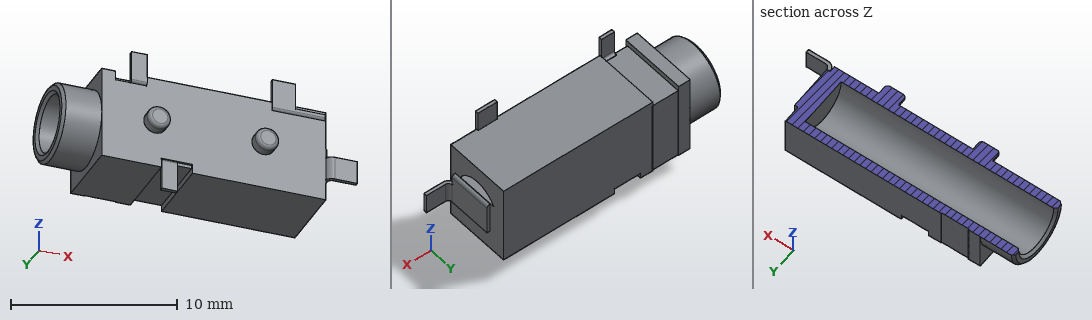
import cadquery as cq

TOTAL_LENGTH = 19.0
BARREL_LENGTH = 2.5
BODY_LENGTH = 14.5
BODY_DEPTH = 5.0
BODY_HEIGHT = 6.0
BODY_END = BARREL_LENGTH + BODY_LENGTH
FRONT_Y = -BODY_DEPTH / 2
TOP_Z = BODY_HEIGHT / 2

BARREL_RADIUS = BODY_DEPTH / 2
BORE_RADIUS = 1.8
MOUTH_CHAMFER = 0.19
BACK_WALL = 1.0
WINDOW_BOTTOM = 0.9

NOTCH_LENGTH = 2.01
NOTCH_DEPTH = 0.4
NOTCH_LEDGE_DROP = 0.2
NOTCH_LEDGE_WIDTH = 0.15
NOTCH_BACK_RELIEF = 0.05
TOP_NOTCH_X = 3.4
BOTTOM_NOTCH_X = 6.36

SHEET = 0.25
STANDOFF = 0.1
TERMINAL_REACH = 1.5
BEND_RADIUS = 0.19
FOOT_Z = TOP_Z - NOTCH_DEPTH - NOTCH_LEDGE_DROP
TIP_Z = TOP_Z + TERMINAL_REACH
TERMINAL_FRONT = FRONT_Y - STANDOFF
SMALL_WIDTH = 1.0
LARGE_X = 13.5
LARGE_WIDTH = 1.5
STRIP_END = 16.93
STRIP_TOP = 2.8

REAR_WIDTH = 1.5
REAR_PLATE_TOP = 0.85
REAR_PLATE_BACK_Y = 1.24
REAR_TOP_ROUND = 0.23
REAR_BEND_RADIUS = 0.28

PEG_RADIUS = 0.75
PEG_LENGTH = 0.8
PEG_ROUND = 0.25
PEG_X = 5.97
PEG_SPACING = 7.0


def block(x_start, x_end, y_start, y_end, z_start, z_end):
    """Box given by its limits along each axis."""
    size = (x_end - x_start, y_end - y_start, z_end - z_start)
    return cq.Workplane().box(*size, centered=False).translate((x_start, y_start, z_start))


def make_housing():
    body = block(BARREL_LENGTH, BODY_END, FRONT_Y, -FRONT_Y, -TOP_Z, TOP_Z)
    barrel = (
        cq.Workplane("YZ").circle(BARREL_RADIUS).extrude(BARREL_LENGTH)
        .faces("<X").chamfer(MOUTH_CHAMFER)
    )
    return body.union(barrel)


def make_notch(x_start):
    """Cutter for a notch in the top face, deeper along the mounting face."""
    x_end = x_start + NOTCH_LENGTH
    floor = TOP_Z - NOTCH_DEPTH
    main = block(x_start, x_end, FRONT_Y, -FRONT_Y, floor, TOP_Z)
    ledge = block(x_start, x_end, FRONT_Y, FRONT_Y + NOTCH_LEDGE_WIDTH, FOOT_Z, TOP_Z)
    return main.union(ledge)


def make_bore():
    """Chamfered blind bore that continues as a segment-shaped window in the back wall."""
    bore = cq.Workplane("YZ").circle(BORE_RADIUS).extrude(BODY_END - BACK_WALL)
    mouth = (
        cq.Workplane("YZ").circle(BORE_RADIUS + MOUTH_CHAMFER)
        .extrude(2 * MOUTH_CHAMFER).faces(">X").chamfer(MOUTH_CHAMFER)
        .translate((-MOUTH_CHAMFER, 0, 0))
    )
    window = cq.Workplane("YZ").circle(BORE_RADIUS).extrude(BODY_END).intersect(
        block(0, BODY_END, -BORE_RADIUS, BORE_RADIUS, WINDOW_BOTTOM, BORE_RADIUS)
    )
    return bore.union(mouth).union(window)


def make_small_terminal(x_start):
    """Upright sheet terminal bent inward at its foot, with round inner and outer bends."""
    back = TERMINAL_FRONT + SHEET
    leg_top = FOOT_Z + SHEET
    leg_end = back + BEND_RADIUS
    return (
        cq.Workplane("YZ", origin=(x_start, 0, 0))
        .moveTo(TERMINAL_FRONT, TIP_Z)
        .lineTo(TERMINAL_FRONT, FOOT_Z + BEND_RADIUS)
        .radiusArc((TERMINAL_FRONT + BEND_RADIUS, FOOT_Z), -BEND_RADIUS)
        .lineTo(leg_end, FOOT_Z)
        .lineTo(leg_end, leg_top)
        .radiusArc((back, leg_top + BEND_RADIUS), BEND_RADIUS)
        .lineTo(back, TIP_Z)
        .close()
        .extrude(SMALL_WIDTH)
    )


def make_large_terminal():
    """Upright terminal with a low strip running toward the back of the housing."""
    back = TERMINAL_FRONT + SHEET
    tab = block(LARGE_X, LARGE_X + LARGE_WIDTH, TERMINAL_FRONT, back, FOOT_Z, TIP_Z)
    strip = block(LARGE_X, STRIP_END, TERMINAL_FRONT, back, FOOT_Z, STRIP_TOP)
    return tab.union(strip).edges("<Y and <Z").fillet(BEND_RADIUS)


def make_rear_terminal():
    """Plate on the back face, bent outward into a flat solder tail."""
    plate_outer = BODY_END + SHEET
    tail_back = TERMINAL_FRONT + SHEET
    outer_radius = REAR_BEND_RADIUS + SHEET
    tail = (
        cq.Workplane("XY", origin=(0, 0, -REAR_WIDTH))
        .moveTo(BODY_END, REAR_PLATE_BACK_Y)
        .lineTo(BODY_END, TERMINAL_FRONT + outer_radius)
        .radiusArc((BODY_END + outer_radius, TERMINAL_FRONT), -outer_radius)
        .lineTo(TOTAL_LENGTH, TERMINAL_FRONT)
        .lineTo(TOTAL_LENGTH, tail_back)
        .lineTo(plate_outer + REAR_BEND_RADIUS, tail_back)
        .radiusArc((plate_outer, tail_back + REAR_BEND_RADIUS), REAR_BEND_RADIUS)
        .lineTo(plate_outer, REAR_PLATE_BACK_Y)
        .close()
        .extrude(REAR_WIDTH)
    )
    plate_top = block(
        BODY_END, plate_outer, TERMINAL_FRONT + outer_radius, REAR_PLATE_BACK_Y, 0, REAR_PLATE_TOP
    ).edges(">X and >Z").fillet(REAR_TOP_ROUND)
    return tail.union(plate_top)


def make_peg(x):
    return (
        cq.Workplane("XZ", origin=(x, FRONT_Y, 0)).circle(PEG_RADIUS).extrude(PEG_LENGTH)
        .faces("<Y").edges().fillet(PEG_ROUND)
    )


result = make_housing()

result = result.cut(make_notch(TOP_NOTCH_X))
result = result.cut(make_notch(BOTTOM_NOTCH_X).mirror("XY"))

result = result.cut(
    block(
        TOP_NOTCH_X, TOP_NOTCH_X + NOTCH_LENGTH, -FRONT_Y - NOTCH_BACK_RELIEF, -FRONT_Y, -TOP_Z, TOP_Z
    )
)
result = result.cut(make_bore())

result = result.union(make_small_terminal(TOP_NOTCH_X + NOTCH_LENGTH - SMALL_WIDTH))
result = result.union(make_small_terminal(BOTTOM_NOTCH_X).mirror("XY"))
result = result.union(make_large_terminal())
result = result.union(make_rear_terminal())

for x in (PEG_X, PEG_X + PEG_SPACING):
    result = result.union(make_peg(x))